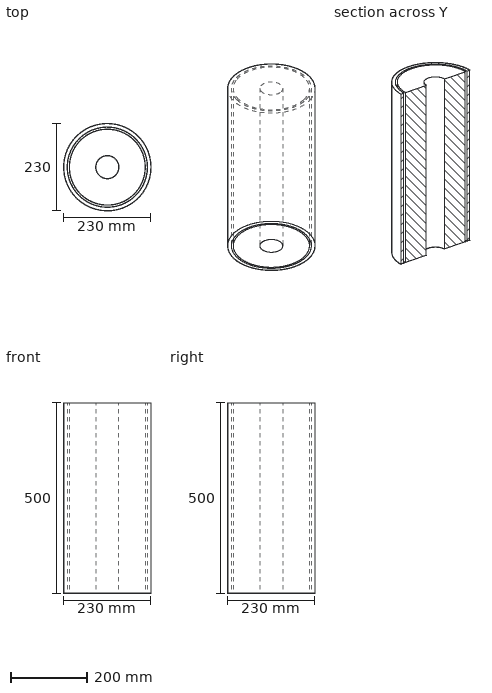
import cadquery as cq

height = 500.0
sleeve_outer_diameter = 230.0
sleeve_inner_diameter = 210.0
core_outer_diameter = 200.0
core_bore_diameter = 60.0


def make_tube(outer_diameter, inner_diameter):
    """Straight tube of full height standing on Z = 0, centred on the Z axis."""
    return (
        cq.Workplane("XY")
        .circle(outer_diameter / 2)
        .circle(inner_diameter / 2)
        .extrude(height)
    )


sleeve = make_tube(sleeve_outer_diameter, sleeve_inner_diameter)

core = make_tube(core_outer_diameter, core_bore_diameter)

result = cq.Compound.makeCompound([sleeve.val(), core.val()])